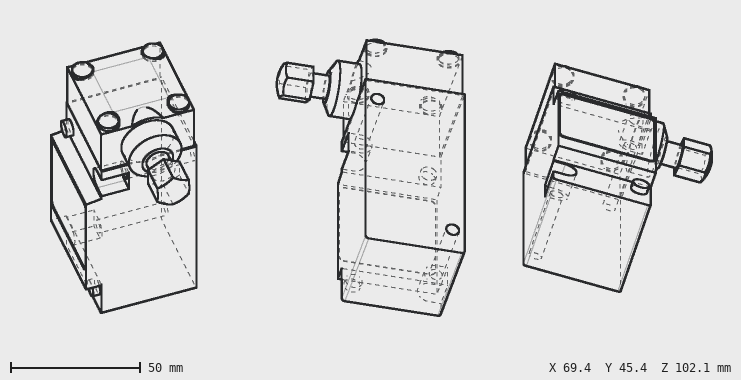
import cadquery as cq
import math


total_length = 69.4
total_depth = 45.4
total_height = 102.1

body_width = 39.3
body_depth = 39.0
body_height = 79.7
bottom_edge_radius = 1.2
front_face_y = -body_depth

cover_bottom_z = 16.2
cover_top_z = 63.6
cover_slope_rise = 1.0
label_width = 38.1
label_bottom_z = 25.5
label_top_z = 62.3
label_corner_radius = 1.9
label_depth = 0.3

mount_inset = 4.8
mount_low_z = 10.9
mount_high_z = 70.6
mount_hole_radius = 2.6
mount_pocket_radius = 4.5
mount_pocket_depth = 11.2
cover_screw_radius = 3.3
cover_screw_height = 2.9
mount_left_x = mount_inset
mount_right_x = body_width - mount_inset

head_width = 38.1
head_top_z = 100.0
head_center_x = body_width / 2
head_center_y = -19.9
crown_top_width = 22.9
crown_height = total_height - head_top_z
head_screw_spacing = 29.0
head_screw_radius = 4.0
head_screw_height = 1.5
head_recess_radius = 4.4
head_right_x = head_center_x + head_width / 2

shaft_axis_z = 89.5
hub_radius = 12.3
collar_radius = 10.8
collar_end_x = 47.2
collar_nose_x = 49.9
collar_nose_radius = 6.3
shaft_radius = 4.6
nut_start_x = 56.7
nut_corner_radius = 7.5
nut_dome_height = 2.3


def front_cylinder(x, z, radius, y_start, y_end):
    """Cylinder along Y between two Y positions."""
    disc = cq.Workplane("XZ", origin=(x, y_start, z)).circle(radius)
    return disc.extrude(y_start - y_end)


def shaft_workplane(x):
    """Plane facing +X, centred on the shaft axis."""
    return cq.Workplane("YZ", origin=(x, head_center_y, shaft_axis_z))


def make_body():
    block = cq.Workplane("XY").box(body_width, body_depth, body_height, centered=False)
    block = block.translate((0, front_face_y, 0))
    return block.edges("<Z and |Y").fillet(bottom_edge_radius)


def make_cover():
    profile = [
        (front_face_y, cover_bottom_z),
        (-total_depth, cover_bottom_z),
        (-total_depth, cover_top_z),
        (front_face_y, cover_top_z + cover_slope_rise),
    ]
    cover = cq.Workplane("YZ").polyline(profile).close().extrude(body_width)
    label_center_z = (label_bottom_z + label_top_z) / 2
    label = (
        cq.Workplane("XZ", origin=(body_width / 2, -total_depth + label_depth, label_center_z))
        .rect(label_width, label_top_z - label_bottom_z)
        .extrude(label_depth)
        .edges("|Y")
        .fillet(label_corner_radius)
    )
    return cover.cut(label)


def make_mount_cut(x, z, side_x):
    """Through hole with a round-ended pocket that opens at the side wall side_x."""
    pocket_floor_y = front_face_y + mount_pocket_depth
    hole = front_cylinder(x, z, mount_hole_radius, 0, front_face_y)
    pocket_end = front_cylinder(x, z, mount_pocket_radius, pocket_floor_y, front_face_y)
    opening = (
        cq.Workplane("XZ", origin=((x + side_x) / 2, pocket_floor_y, z))
        .rect(abs(side_x - x), 2 * mount_pocket_radius)
        .extrude(mount_pocket_depth)
    )
    return hole.union(pocket_end).union(opening)


def make_head():
    """Square block with a sloped crown, the shaft hub, and four screws on flat corners."""
    corner_margin = (head_width - head_screw_spacing) / 2
    corner_spacing = head_screw_spacing + corner_margin
    base = cq.Workplane("XY", origin=(head_center_x, head_center_y, body_height))
    top = cq.Workplane("XY", origin=(head_center_x, head_center_y, head_top_z))
    block = base.rect(head_width, head_width).extrude(head_top_z - body_height)
    crown = (
        top.rect(head_width, head_width)
        .workplane(offset=crown_height)
        .rect(crown_top_width, crown_top_width)
        .loft(ruled=True)
    )
    screw_places = top.rect(head_screw_spacing, head_screw_spacing, forConstruction=True).vertices()
    recesses = screw_places.circle(head_recess_radius).extrude(crown_height)
    corner_places = top.rect(corner_spacing, corner_spacing, forConstruction=True).vertices()
    corner_flats = corner_places.rect(corner_margin, corner_margin).extrude(crown_height)
    screws = screw_places.circle(head_screw_radius).extrude(head_screw_height)
    hub = shaft_workplane(head_center_x).circle(hub_radius).extrude(head_right_x - head_center_x)
    return block.union(crown).cut(recesses).cut(corner_flats).union(screws).union(hub)


def make_shaft():
    """Collar with a conical nose, followed by the plain shaft."""
    collar = (
        cq.Workplane("XY")
        .moveTo(head_center_x, 0)
        .lineTo(head_center_x, collar_radius)
        .lineTo(collar_end_x, collar_radius)
        .lineTo(collar_nose_x, collar_nose_radius)
        .lineTo(collar_nose_x, shaft_radius)
        .lineTo(nut_start_x, shaft_radius)
        .lineTo(nut_start_x, 0)
        .close()
        .revolve(360, (0, 0, 0), (1, 0, 0))
    )
    return collar.translate((0, head_center_y, shaft_axis_z))


def make_nut():
    """Hexagon with corners up and down, its free end rounded by a sphere."""
    dome_radius = (nut_corner_radius**2 + nut_dome_height**2) / (2 * nut_dome_height)
    corner_angles = [math.radians(60 * corner) for corner in range(6)]
    hexagon = [
        (nut_corner_radius * math.sin(angle), nut_corner_radius * math.cos(angle))
        for angle in corner_angles
    ]
    nut = shaft_workplane(nut_start_x).polyline(hexagon).close().extrude(total_length - nut_start_x)
    dome = cq.Workplane("XY").sphere(dome_radius)
    dome = dome.translate((total_length - dome_radius, head_center_y, shaft_axis_z))
    return nut.intersect(dome)


result = make_body().union(make_cover())
result = result.cut(make_mount_cut(mount_right_x, mount_high_z, body_width))
result = result.cut(make_mount_cut(mount_left_x, mount_low_z, 0))

for screw_x, screw_z in [(mount_left_x, mount_high_z), (mount_right_x, mount_low_z)]:
    screw_end_y = front_face_y - cover_screw_height
    screw = front_cylinder(screw_x, screw_z, cover_screw_radius, front_face_y, screw_end_y)
    result = result.union(screw)

for assembly_piece in (make_head(), make_shaft(), make_nut()):
    result = result.union(assembly_piece)